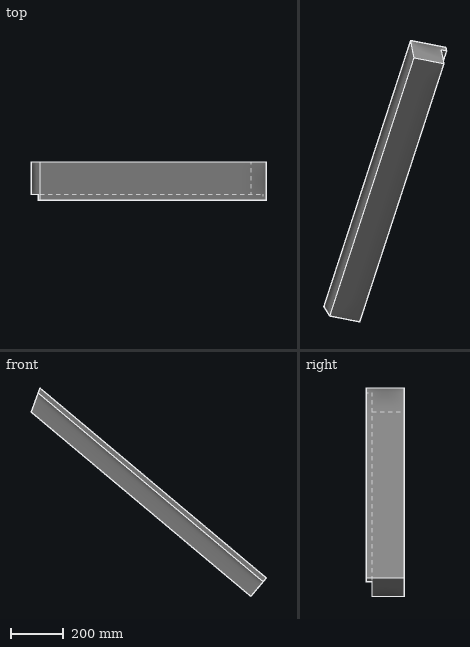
import cadquery as cq
import math

overall_length = 894.0
overall_width = 146.05
rail_depth = 92.075
lip_thickness = 19.05
lip_projection = 22.225
slope = math.radians(40)
end_rise = math.radians(70)

body_width = overall_width - lip_projection

mitre_length = rail_depth / math.sin(math.pi - slope - end_rise)
mitre_run = mitre_length * math.cos(end_rise)
mitre_rise = mitre_length * math.sin(end_rise)

top_run = overall_length - mitre_run
top_drop = top_run * math.tan(slope)


def layer_profile(depth):
    """XZ outline of the rail from its top face down to the given depth."""
    mitre_fraction = depth / rail_depth
    top_left = (mitre_run, mitre_rise)
    top_right = (overall_length, mitre_rise - top_drop)
    bottom_right = (
        top_right[0] - depth * math.sin(slope),
        top_right[1] - depth * math.cos(slope),
    )
    bottom_left = (
        top_left[0] - mitre_run * mitre_fraction,
        top_left[1] - mitre_rise * mitre_fraction,
    )
    return [top_left, top_right, bottom_right, bottom_left]


def layer(depth, width):
    """Slab of the given depth, running from the back face (Y = 0) toward -Y."""
    return cq.Workplane("XZ").polyline(layer_profile(depth)).close().extrude(width)


body = layer(rail_depth, body_width)
top_board = layer(lip_thickness, overall_width)

result = body.union(top_board)